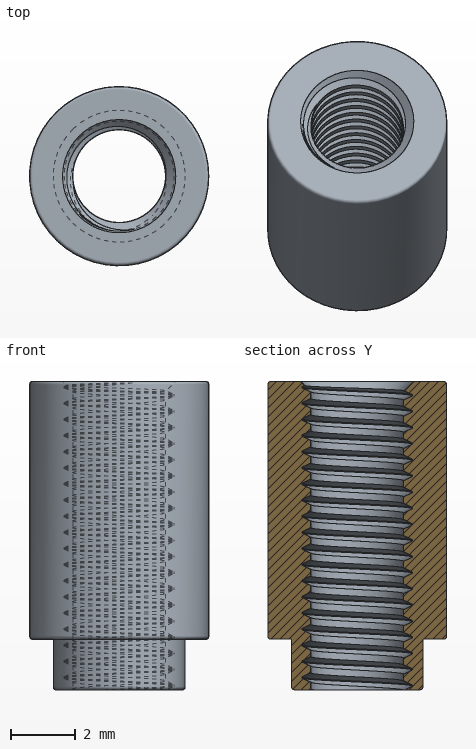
import cadquery as cq
import math

body_diameter = 5.56
spigot_diameter = 4.09
spigot_height = 1.57
body_height = 8.0
total_height = spigot_height + body_height
edge_radius = 0.1

bore_diameter = 2.87
bore_radius = bore_diameter / 2
countersink_diameter = 3.51
countersink_depth = (countersink_diameter - bore_diameter) / 2

pitch = 0.5
groove_opening = 0.29
groove_root_width = 0.03
groove_depth = 0.27
thread_angle = 311.4
thread_overrun = pitch
turns_per_cutter = 1
groove_overlap = 0.1


def outer_shape():
    """Spigot and body, with rounded outer edges."""
    spigot = cq.Workplane("XY").circle(spigot_diameter / 2).extrude(spigot_height)
    spigot = spigot.faces("<Z").edges().fillet(edge_radius)
    body = (
        cq.Workplane("XY")
        .workplane(offset=spigot_height)
        .circle(body_diameter / 2)
        .extrude(body_height)
        .edges()
        .fillet(edge_radius)
    )
    return body.union(spigot)


def bore():
    """Plain through bore."""
    return cq.Workplane("XY").circle(bore_radius).extrude(total_height)


def countersink():
    """Cone that widens the bore to the countersink diameter at the top face."""
    cone = cq.Solid.makeCone(
        bore_radius,
        countersink_diameter / 2,
        countersink_depth,
        pnt=cq.Vector(0, 0, total_height - countersink_depth),
    )
    return cq.Workplane(cone)


def thread_cutter():
    """One length of the helical groove, starting on the +X side at Z = 0."""
    flank_slope = (groove_opening - groove_root_width) / 2 / groove_depth
    inner_radius = bore_radius - groove_overlap
    root_radius = bore_radius + groove_depth
    inner_half = groove_opening / 2 + groove_overlap * flank_slope
    root_half = groove_root_width / 2
    section = (
        cq.Workplane("XZ")
        .moveTo(inner_radius, -inner_half)
        .lineTo(root_radius, -root_half)
        .lineTo(root_radius, root_half)
        .lineTo(inner_radius, inner_half)
        .close()
    )
    helix = cq.Wire.makeHelix(pitch, pitch * turns_per_cutter, bore_radius)
    return section.sweep(cq.Workplane(helix), isFrenet=True)


def cut_thread(part):
    """Cut the groove with whole-turn cutters placed end to end up the bore."""
    start_angle = thread_angle - 360 * (total_height + thread_overrun) / pitch
    cutter = thread_cutter().rotate((0, 0, 0), (0, 0, 1), start_angle)
    cutter_lead = pitch * turns_per_cutter
    cutter_count = math.ceil((total_height + thread_overrun) / cutter_lead)
    for index in range(cutter_count):
        lift = index * cutter_lead - thread_overrun
        part = part.cut(cutter.translate((0, 0, lift)), clean=False)
    return part


result = cut_thread(outer_shape().cut(bore()).cut(countersink()))